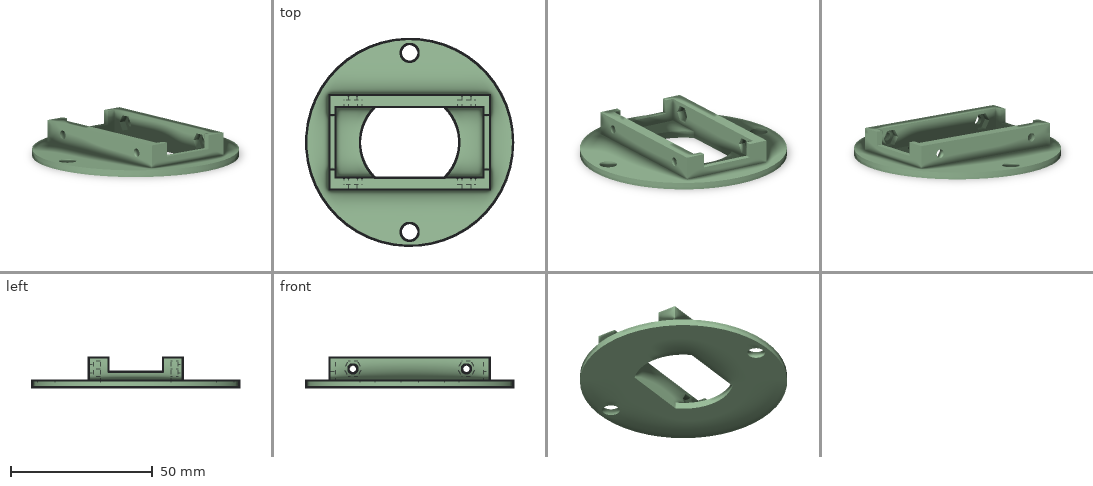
import cadquery as cq
import math

flange_diameter = 73.0
flange_thickness = 2.4
total_height = 10.5
flange_hole_diameter = 6.2
flange_hole_offset = 31.5

frame_length = 56.5
pocket_length = 52.1
pocket_width = 24.8
long_wall = 4.2
frame_height = total_height - flange_thickness
frame_front = -pocket_width / 2 - long_wall
frame_width = pocket_width + 2 * long_wall

notch_width = 19.1
notch_floor = 5.55

opening_diameter = 34.9

screw_diameter = 3.1
screw_spacing = 40.0
screw_height = 6.5
nut_across_flats = 5.5
nut_depth = 2.5


def box_from(length, width, height, front, bottom):
    """Box centred on X, starting at the given front Y and bottom Z."""
    return (
        cq.Workplane("XY")
        .box(length, width, height, centered=(True, False, False))
        .translate((0, front, bottom))
    )


def make_flange():
    flange = cq.Workplane("XY").circle(flange_diameter / 2).extrude(flange_thickness)
    opening = (
        cq.Workplane("XY")
        .circle(opening_diameter / 2)
        .extrude(flange_thickness)
        .intersect(box_from(pocket_length, pocket_width, flange_thickness, -pocket_width / 2, 0))
    )
    mounting_holes = (
        cq.Workplane("XY")
        .pushPoints([(0, -flange_hole_offset), (0, flange_hole_offset)])
        .circle(flange_hole_diameter / 2)
        .extrude(flange_thickness)
    )
    return flange.cut(opening).cut(mounting_holes)


def make_frame():
    frame = box_from(frame_length, frame_width, frame_height, frame_front, flange_thickness)
    pocket = box_from(pocket_length, pocket_width, frame_height, -pocket_width / 2, flange_thickness)
    notch = box_from(frame_length, notch_width, total_height - notch_floor, -notch_width / 2, notch_floor)
    return frame.cut(pocket).cut(notch)


def make_screw_hole(x):
    """Screw hole through both long walls, with a hexagonal nut trap inside each."""
    hole = (
        cq.Workplane("XZ", origin=(x, frame_front, screw_height))
        .circle(screw_diameter / 2)
        .extrude(-frame_width)
    )
    nut_traps = (
        cq.Workplane("XZ", origin=(x, -pocket_width / 2 - nut_depth, screw_height))
        .polygon(6, nut_across_flats / math.cos(math.pi / 6))
        .extrude(-pocket_width - 2 * nut_depth)
    )
    return hole.union(nut_traps)


result = make_flange().union(make_frame())
for screw_x in (-screw_spacing / 2, screw_spacing / 2):
    result = result.cut(make_screw_hole(screw_x))